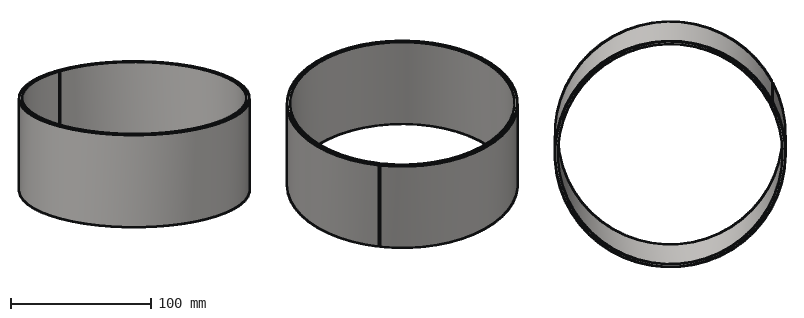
import cadquery as cq

outer_diameter = 165.0
wall_thickness = 2.5
height = 70.0
outer_edge_chamfer = 0.5
inner_edge_chamfer = 0.2

slit_angle = 1.0

outer_radius = outer_diameter / 2
inner_radius = outer_radius - wall_thickness


def make_wall_section():
    """Wall cross-section in the XZ plane at -X, with its four corners chamfered."""
    wall_center = -(outer_radius + inner_radius) / 2
    section = (
        cq.Sketch()
        .push([(wall_center, height / 2)])
        .rect(wall_thickness, height)
        .reset()
    )
    section.vertices("<X").chamfer(outer_edge_chamfer).reset()
    section.vertices(">X").chamfer(inner_edge_chamfer).reset()
    return section


def make_split_ring():
    """Sweep the wall section about the Z axis, from -X towards -Y, short of a full turn."""
    axis_start = (0, 0, 0)
    axis_end = (0, 1, 0)
    return (
        cq.Workplane("XZ")
        .placeSketch(make_wall_section())
        .revolve(360 - slit_angle, axis_start, axis_end)
    )


result = make_split_ring()